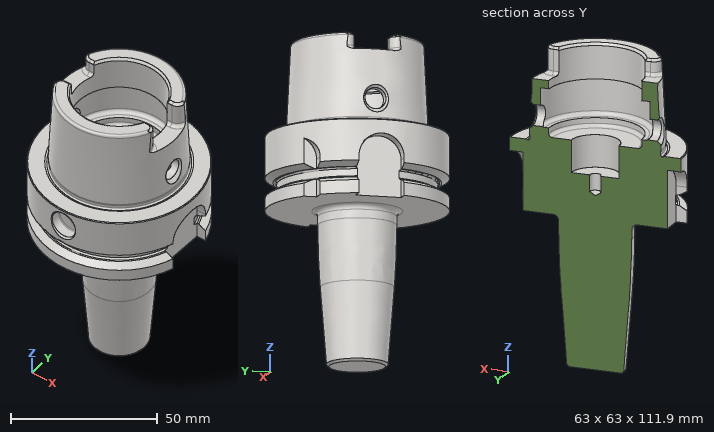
import cadquery as cq
import math


TAPER_TOP = 31.9
TAPER_SLOPE = 0.05
GAUGE_HEIGHT = 6.3
GAUGE_RADIUS = 48.01 / 2
NECK_TOP = 2.0
NECK_RADIUS = 24.1
NECK_STRAIGHT_TOP = 1.4
NECK_ROUND = 0.6
RELIEF_RADIUS = 25.4
RELIEF_DEPTH = 0.25
RIM_ROUND = 1.0

FLANGE_RADIUS = 31.5
FLANGE_BOTTOM = -26.0
FLANGE_EDGE = 0.3
GROOVE_RADIUS = 27.5
GROOVE_CENTRE = -18.05
GROOVE_MOUTH = 6.85
GROOVE_WIDTH = 3.65
GROOVE_FLOOR_ROUND = 0.6
GROOVE_FLANK = math.tan(math.radians(30))

NOSE_BOTTOM = -80.0
NOSE_TOP_RADIUS = 13.5
NOSE_ANGLE = math.radians(4.5)
NOSE_BOTTOM_RADIUS = 10.5
NOSE_EDGE = 0.8
NOSE_ROUND = 2.0
NOSE_CURVE_TOP = -31.0
NOSE_CURVE_BOTTOM = -52.5

BORE_RADIUS = 17.0
BORE_BOTTOM = 1.7
UNDERCUT_RADIUS = 20.0
UNDERCUT_TOP = 18.9
UNDERCUT_BOTTOM = 6.5
UNDERCUT_ROUND = 1.5
BORE_FLOOR_ROUND = 1.3
BORE_RIM_WIDTH = 0.7
BORE_RIM_HEIGHT = 1.0
TUBE_SEAT_RADIUS = 8.7
TUBE_SEAT_BOTTOM = -10.0
COOLANT_RADIUS = 2.0
COOLANT_DEPTH = 6.0
DRILL_POINT_ANGLE = math.radians(59)

SLOT_HALF_WIDTH = 12.54 / 2
SLOT_CORNER_X = 20.85
SLOT_CORNER_ROUND = 3.0
SLOT_FLOOR_ROUND = 1.3
SLOT_RIM_WIDTH = 1.0
SLOT_RIM_HEIGHT = 0.8
SLOT_FLOOR_NEG_X = 26.0
SLOT_FLOOR_POS_X = 22.0

KEYWAY_TOP = -5.0
KEYWAY_FLAT = 26.5
KEYWAY_WIDTH_NEG_X = 16.0
KEYWAY_WIDTH_POS_X = 18.0
NOTCH_WIDTH = 16.0
NOTCH_X = -19.8
NOTCH_Y = 20.0

CLAMP_HOLE_Z = 8.9
CLAMP_HOLE_RADIUS = 3.7
CLAMP_SINK_RADIUS = 4.8
CHIP_HOLE_Z = -7.0
CHIP_HOLE_RADIUS = 5.0
CHIP_HOLE_DEPTH = 4.6
CHIP_SINK_RADIUS = 5.7
CHIP_FLOOR_ROUND = 0.3
CHIP_PINHOLE_RADIUS = 0.5
CHIP_PINHOLE_DEPTH = 1.0

SINK_CLEAR = 1.0
CLEAR = 5.0


def taper_radius(z):
    return GAUGE_RADIUS - (z - GAUGE_HEIGHT) * TAPER_SLOPE


def quarter_arc_inset(radius):
    """How far the middle of a quarter-round lies from each of its two tangent lines."""
    return radius * (1 - math.sqrt(0.5))


def outer_body():
    """Turned outside: nose, grooved flange and taper, revolved about Z."""
    cone_run = NOSE_CURVE_BOTTOM - NOSE_BOTTOM
    curve_bottom_radius = NOSE_BOTTOM_RADIUS + cone_run * math.tan(NOSE_ANGLE)
    edge_top_radius = NOSE_BOTTOM_RADIUS + NOSE_EDGE * math.tan(NOSE_ANGLE)
    curve_radius = (NOSE_CURVE_TOP - NOSE_CURVE_BOTTOM) / math.sin(NOSE_ANGLE)
    curve_mid = (
        NOSE_TOP_RADIUS - curve_radius * (1 - math.cos(NOSE_ANGLE / 2)),
        NOSE_CURVE_TOP - curve_radius * math.sin(NOSE_ANGLE / 2),
    )
    groove_half = GROOVE_MOUTH / 2
    groove_floor_half = GROOVE_WIDTH / 2
    groove_throat_radius = FLANGE_RADIUS - (groove_half - groove_floor_half) / GROOVE_FLANK
    groove_round_off = quarter_arc_inset(GROOVE_FLOOR_ROUND)
    round_off = quarter_arc_inset(NOSE_ROUND)
    neck_round_off = quarter_arc_inset(NECK_ROUND)
    profile = (
        cq.Workplane("YZ")
        .moveTo(0, NOSE_BOTTOM)
        .lineTo(NOSE_BOTTOM_RADIUS - NOSE_EDGE, NOSE_BOTTOM)
        .lineTo(edge_top_radius, NOSE_BOTTOM + NOSE_EDGE)
        .lineTo(curve_bottom_radius, NOSE_CURVE_BOTTOM)
        .threePointArc(curve_mid, (NOSE_TOP_RADIUS, NOSE_CURVE_TOP))
        .lineTo(NOSE_TOP_RADIUS, FLANGE_BOTTOM - NOSE_ROUND)
        .threePointArc(
            (NOSE_TOP_RADIUS + round_off, FLANGE_BOTTOM - round_off),
            (NOSE_TOP_RADIUS + NOSE_ROUND, FLANGE_BOTTOM),
        )
        .lineTo(FLANGE_RADIUS, FLANGE_BOTTOM)
        .lineTo(FLANGE_RADIUS, GROOVE_CENTRE - groove_half)
        .lineTo(groove_throat_radius, GROOVE_CENTRE - groove_floor_half)
        .lineTo(GROOVE_RADIUS + GROOVE_FLOOR_ROUND, GROOVE_CENTRE - groove_floor_half)
        .threePointArc(
            (GROOVE_RADIUS + groove_round_off, GROOVE_CENTRE - groove_floor_half + groove_round_off),
            (GROOVE_RADIUS, GROOVE_CENTRE - groove_floor_half + GROOVE_FLOOR_ROUND),
        )
        .lineTo(GROOVE_RADIUS, GROOVE_CENTRE + groove_floor_half - GROOVE_FLOOR_ROUND)
        .threePointArc(
            (GROOVE_RADIUS + groove_round_off, GROOVE_CENTRE + groove_floor_half - groove_round_off),
            (GROOVE_RADIUS + GROOVE_FLOOR_ROUND, GROOVE_CENTRE + groove_floor_half),
        )
        .lineTo(groove_throat_radius, GROOVE_CENTRE + groove_floor_half)
        .lineTo(FLANGE_RADIUS, GROOVE_CENTRE + groove_half)
        .lineTo(FLANGE_RADIUS, -FLANGE_EDGE)
        .lineTo(FLANGE_RADIUS - FLANGE_EDGE, 0)
        .lineTo(RELIEF_RADIUS, 0)
        .lineTo(NECK_RADIUS + NECK_ROUND, -RELIEF_DEPTH)
        .threePointArc(
            (NECK_RADIUS + neck_round_off, neck_round_off - RELIEF_DEPTH),
            (NECK_RADIUS, NECK_ROUND - RELIEF_DEPTH),
        )
        .lineTo(NECK_RADIUS, NECK_STRAIGHT_TOP)
        .lineTo(taper_radius(NECK_TOP), NECK_TOP)
        .lineTo(taper_radius(TAPER_TOP), TAPER_TOP)
        .lineTo(0, TAPER_TOP)
        .close()
    )
    body = profile.revolve(360, (0, 0, 0), (0, 1, 0))
    return body.faces(">Z").edges().fillet(RIM_ROUND)


def stepped_bore():
    """Clamping bore, coolant tube seat and blind coolant hole as one turned cutter."""
    undercut_floor = UNDERCUT_BOTTOM - UNDERCUT_ROUND
    undercut_round_off = quarter_arc_inset(UNDERCUT_ROUND)
    round_off = quarter_arc_inset(BORE_FLOOR_ROUND)
    coolant_bottom = TUBE_SEAT_BOTTOM - COOLANT_DEPTH
    drill_tip = coolant_bottom - COOLANT_RADIUS / math.tan(DRILL_POINT_ANGLE)
    profile = (
        cq.Workplane("YZ")
        .moveTo(0, drill_tip)
        .lineTo(COOLANT_RADIUS, coolant_bottom)
        .lineTo(COOLANT_RADIUS, TUBE_SEAT_BOTTOM)
        .lineTo(TUBE_SEAT_RADIUS, TUBE_SEAT_BOTTOM)
        .lineTo(TUBE_SEAT_RADIUS, BORE_BOTTOM)
        .lineTo(BORE_RADIUS - BORE_FLOOR_ROUND, BORE_BOTTOM)
        .threePointArc(
            (BORE_RADIUS - round_off, BORE_BOTTOM + round_off),
            (BORE_RADIUS, BORE_BOTTOM + BORE_FLOOR_ROUND),
        )
        .lineTo(BORE_RADIUS, undercut_floor)
        .lineTo(UNDERCUT_RADIUS - UNDERCUT_ROUND, undercut_floor)
        .threePointArc(
            (UNDERCUT_RADIUS - undercut_round_off, undercut_floor + undercut_round_off),
            (UNDERCUT_RADIUS, UNDERCUT_BOTTOM),
        )
        .lineTo(UNDERCUT_RADIUS, UNDERCUT_TOP)
        .lineTo(BORE_RADIUS, UNDERCUT_TOP)
        .lineTo(BORE_RADIUS, TAPER_TOP - BORE_RIM_HEIGHT)
        .lineTo(BORE_RADIUS + BORE_RIM_WIDTH, TAPER_TOP)
        .lineTo(0, TAPER_TOP)
        .close()
    )
    return profile.revolve(360, (0, 0, 0), (0, 1, 0))


def slot_outline(base):
    """Plan of a +X drive slot: a channel from the axis, flaring open past SLOT_CORNER_X."""
    outer = FLANGE_RADIUS
    arc_start_x = SLOT_CORNER_X - SLOT_CORNER_ROUND
    arc_end_y = SLOT_HALF_WIDTH + SLOT_CORNER_ROUND
    inset = quarter_arc_inset(SLOT_CORNER_ROUND)
    arc_mid = (SLOT_CORNER_X - inset, SLOT_HALF_WIDTH + inset)
    return (
        cq.Workplane("XY", origin=(0, 0, base))
        .moveTo(0, -SLOT_HALF_WIDTH)
        .lineTo(arc_start_x, -SLOT_HALF_WIDTH)
        .threePointArc((arc_mid[0], -arc_mid[1]), (SLOT_CORNER_X, -arc_end_y))
        .lineTo(SLOT_CORNER_X, -outer)
        .lineTo(outer, -outer)
        .lineTo(outer, outer)
        .lineTo(SLOT_CORNER_X, outer)
        .lineTo(SLOT_CORNER_X, arc_end_y)
        .threePointArc(arc_mid, (arc_start_x, SLOT_HALF_WIDTH))
        .lineTo(0, SLOT_HALF_WIDTH)
        .close()
    )


def drive_slot(side, floor):
    """Slot through the taper wall on one X side, rounded at its floor and bevelled at its rim."""
    channel = slot_outline(floor).extrude(TAPER_TOP - floor)
    channel = channel.faces("<Z").edges("not(>X or <X or >Y or <Y)").fillet(SLOT_FLOOR_ROUND)
    flare_angle = math.degrees(math.atan2(SLOT_RIM_WIDTH, SLOT_RIM_HEIGHT))
    bevel = slot_outline(TAPER_TOP - SLOT_RIM_HEIGHT).extrude(SLOT_RIM_HEIGHT, taper=-flare_angle)
    turn = 0 if side > 0 else 180
    return channel.union(bevel).rotate((0, 0, 0), (0, 0, 1), turn)


def round_headed_slot(width, centre_y, flat_x, top):
    """Cutter lying along X from flat_x outward on the same side, open below the flange."""
    radius = width / 2
    reach = math.copysign(FLANGE_RADIUS + CLEAR, flat_x) - flat_x
    bottom = FLANGE_BOTTOM - CLEAR
    return (
        cq.Workplane("YZ", origin=(flat_x, 0, 0))
        .moveTo(centre_y - radius, bottom)
        .lineTo(centre_y + radius, bottom)
        .lineTo(centre_y + radius, top - radius)
        .threePointArc((centre_y, top), (centre_y - radius, top - radius))
        .close()
        .extrude(reach)
    )


def sunk_hole(floor, surface, hole_radius, sink_radius):
    """Cutter along Z from floor to past surface, with a ninety-degree countersink at surface."""
    profile = (
        cq.Workplane("YZ")
        .moveTo(0, floor)
        .lineTo(hole_radius, floor)
        .lineTo(hole_radius, surface - (sink_radius - hole_radius))
        .lineTo(sink_radius + SINK_CLEAR, surface + SINK_CLEAR)
        .lineTo(0, surface + SINK_CLEAR)
        .close()
    )
    return profile.revolve(360, (0, 0, 0), (0, 1, 0))


def clamp_hole(side):
    """Countersunk cross hole through the taper wall on one X side."""
    hole = sunk_hole(0, taper_radius(CLAMP_HOLE_Z), CLAMP_HOLE_RADIUS, CLAMP_SINK_RADIUS)
    return hole.rotate((0, 0, 0), (0, 1, 0), side * 90).translate((0, 0, CLAMP_HOLE_Z))


def chip_hole():
    """Blind hole for a data chip in the -Y side of the flange, with a pinhole in its floor."""
    floor = FLANGE_RADIUS - CHIP_HOLE_DEPTH
    hole = sunk_hole(floor, FLANGE_RADIUS, CHIP_HOLE_RADIUS, CHIP_SINK_RADIUS)
    hole = hole.faces("<Z").edges().fillet(CHIP_FLOOR_ROUND)
    pinhole = (
        cq.Workplane("XY", origin=(0, 0, floor - CHIP_PINHOLE_DEPTH))
        .circle(CHIP_PINHOLE_RADIUS)
        .extrude(2 * CHIP_PINHOLE_DEPTH)
    )
    return hole.union(pinhole).rotate((0, 0, 0), (1, 0, 0), 90).translate((0, 0, CHIP_HOLE_Z))


body = outer_body().cut(stepped_bore())
body = body.cut(clamp_hole(-1)).cut(clamp_hole(1)).cut(chip_hole())
body = body.cut(drive_slot(-1, SLOT_FLOOR_NEG_X)).cut(drive_slot(1, SLOT_FLOOR_POS_X))
body = body.cut(round_headed_slot(KEYWAY_WIDTH_NEG_X, 0, -KEYWAY_FLAT, KEYWAY_TOP))
body = body.cut(round_headed_slot(KEYWAY_WIDTH_POS_X, 0, KEYWAY_FLAT, KEYWAY_TOP))
body = body.cut(round_headed_slot(NOTCH_WIDTH, NOTCH_Y + NOTCH_WIDTH / 2, NOTCH_X, KEYWAY_TOP))
result = body